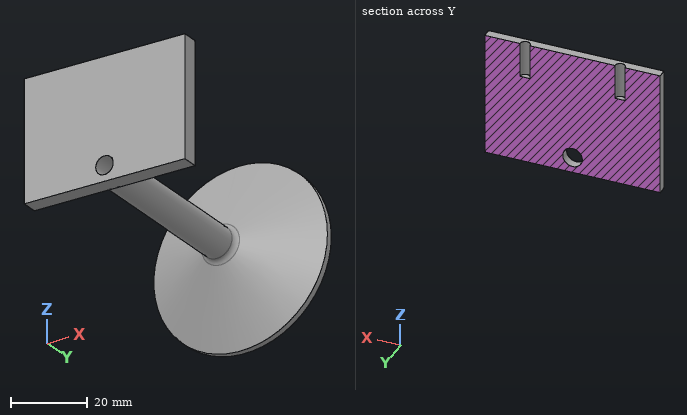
import cadquery as cq

total_length = 67.9

flange_diameter = 54.0
rim_thickness = 2.0
cone_length = 10.1
neck_fillet = 2.0

tube_diameter = 9.4
bore_diameter = 5.4

plate_width = 50.0
plate_thickness = 5.0
overall_height = 58.7

edge_hole_diameter = 2.8
edge_hole_spacing = 27.0
edge_hole_depth = 10.2

flange_radius = flange_diameter / 2
tube_radius = tube_diameter / 2
cone_base_y = total_length - rim_thickness
neck_y = cone_base_y - cone_length
plate_top = overall_height - flange_radius
plate_bottom = -tube_radius


def make_flange_and_tube():
    """Revolve the half-profile about the Y axis and round the neck."""
    body = (
        cq.Workplane("XY")
        .moveTo(0, 0)
        .lineTo(tube_radius, 0)
        .lineTo(tube_radius, neck_y)
        .lineTo(flange_radius, cone_base_y)
        .lineTo(flange_radius, total_length)
        .lineTo(0, total_length)
        .close()
        .revolve(360, (0, 0, 0), (0, 1, 0))
    )
    return body.edges(cq.selectors.RadiusNthSelector(0)).edges(">Y").fillet(neck_fillet)


def make_plate():
    """Rectangular plate with two blind holes in its top edge."""
    plate = cq.Workplane("XY", origin=(0, 0, plate_bottom)).box(
        plate_width, plate_thickness, plate_top - plate_bottom, centered=(True, False, False)
    )
    edge_holes = (
        cq.Workplane("XY", origin=(0, plate_thickness / 2, plate_top))
        .pushPoints([(-edge_hole_spacing / 2, 0), (edge_hole_spacing / 2, 0)])
        .circle(edge_hole_diameter / 2)
        .extrude(-edge_hole_depth)
    )
    return plate.cut(edge_holes)


def make_bore():
    """Straight hole through the plate, tube and flange."""
    return cq.Workplane("XZ").circle(bore_diameter / 2).extrude(-total_length)


result = make_flange_and_tube().union(make_plate()).cut(make_bore())